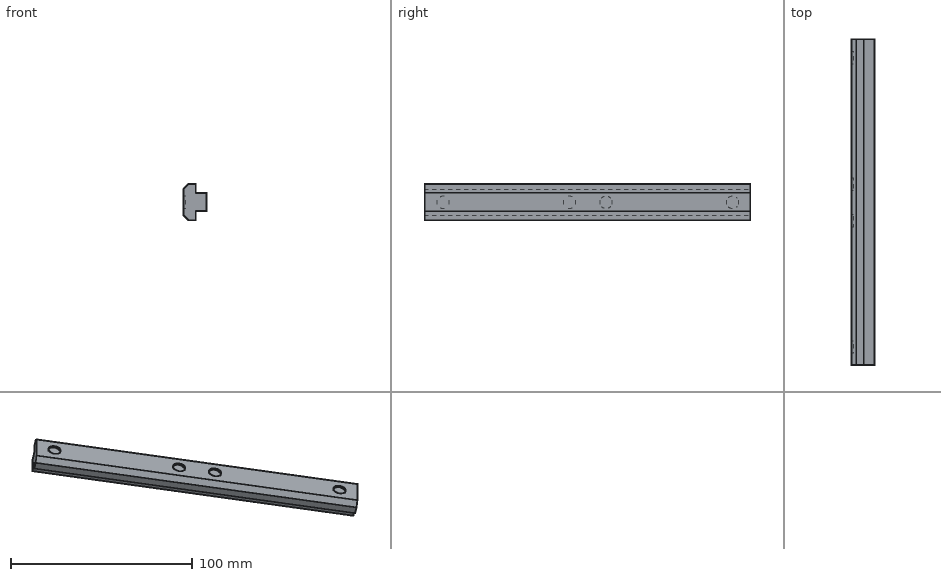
import cadquery as cq

length = 180.0
depth = 13.0
height = 20.2

flange_thickness = 7.0
stem_height = 10.0
chamfer = 2.9

recess_diameter = 6.8
recess_depth = 1.0
recess_inset = 10.0
inner_offset = 10.0


def make_bar():
    """T-section bar centred on the origin, flange towards -X."""
    flange = (
        cq.Workplane("XY")
        .box(flange_thickness, length, height)
        .translate(((flange_thickness - depth) / 2, 0, 0))
        .faces("<X")
        .edges("|Y")
        .chamfer(chamfer)
    )
    stem = cq.Workplane("XY").box(depth, length, stem_height)
    return flange.union(stem)


def make_recesses():
    """Cylinders cut into the -X face, mirrored about mid-length."""
    outer_offset = length / 2 - recess_inset
    positions = [(side * y, 0) for y in (inner_offset, outer_offset) for side in (-1, 1)]
    return (
        cq.Workplane("YZ", origin=(-depth / 2, 0, 0))
        .pushPoints(positions)
        .circle(recess_diameter / 2)
        .extrude(recess_depth)
    )


result = make_bar().cut(make_recesses())